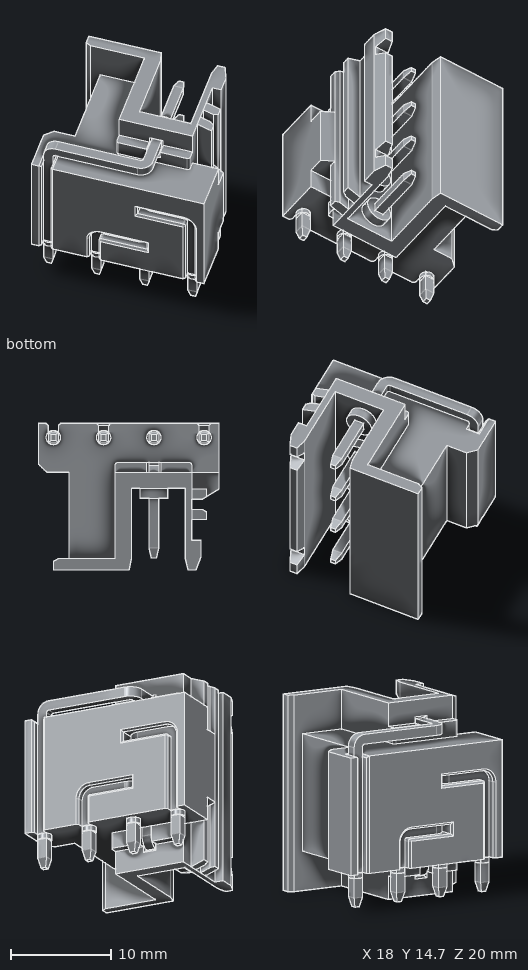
import cadquery as cq
import math


pin_pitch = 5.0
pin_count = 4
row_offsets = [(i - (pin_count - 1) / 2) * pin_pitch for i in range(pin_count)]
contact_x = pin_pitch / 2
contact_z = row_offsets[::-1]
tail_x = [row_offsets[0], row_offsets[3], row_offsets[1], row_offsets[2]]

pin_width = 1.0
flare = 0.22
leg_depth = 1.05
bend_inner_radius = 0.24
bend_outer_radius = bend_inner_radius + pin_width
leg_front_y = 0.9
leg_back_y = leg_front_y + leg_depth
leg_mid_y = (leg_front_y + leg_back_y) / 2
tip_width = 0.52
tip_length = 1.0
contact_tip_y = 13.45
tail_tip_z = -9.48
collar_radius = pin_width / 2 + flare
collar_height = 0.54
riser_front_y = 4.2
step_rise = pin_pitch / 2

base_half_width = 9.0
base_half_height = 5.97
base_depth = 4.9
base_chamfer_x = 0.85
base_chamfer_y = 0.82
block_left_x = -5.97
lip_half_height = 3.6
lip_low_y = 6.56

header_half_height = 9.98
header_top_y = 14.65
shroud_left_x = -1.35
shroud_right_x = 6.28
cavity_left_x = 0.28
cavity_right_x = 5.63
floor_thickness = 1.58
floor_y = base_depth + floor_thickness
flange_left_x = -7.52
flange_chamfer_x = 0.52
flange_chamfer_y = 0.3
flange_thickness = 1.18
flange_bottom_y = header_top_y - flange_thickness
plug_depth = 1.0
plug_half_height = 7.6
plug_corner_radius = 0.25
boss_diameter = 2.8
boss_height = 1.0

wall_taper_y = 13.5
wall_taper_x = 0.24
latch_tip_left_x = 5.9
latch_tip_right_x = 6.7
barb_x = 7.2
barb_low_y = 11.65
barb_high_y = 13.33
notch_mouth = 2.11
notch_bottom = 1.1
rib_tip_x = 7.76
rib_thickness = 1.02
rib_low_y = lip_low_y
rib_high_y = 8.58
rib_chamfer_x = 0.42
rib_chamfer_y = 0.25
rib_end_drop = 0.52


def elbow_outline(plane, corner, ends, thickness, grow=0.0):
    """L-shaped outline with a rounded bend.

    corner is the sharp outer corner, ends are where the two legs stop, and thickness is
    that of the leg along v, then of the leg along u. grow widens the outline all round.
    """
    su = math.copysign(1, ends[0] - corner[0])
    sv = math.copysign(1, ends[1] - corner[1])
    u0 = corner[0] - su * grow
    v0 = corner[1] - sv * grow
    u_end = ends[0] + su * grow
    v_end = ends[1] + sv * grow
    outer = bend_outer_radius + grow
    inner = bend_inner_radius - grow
    u_in = u0 + su * (thickness[0] + 2 * grow)
    v_in = v0 + sv * (thickness[1] + 2 * grow)
    k = 1 - math.sqrt(0.5)
    return (
        plane.moveTo(u0, v_end)
        .lineTo(u0, v0 + sv * outer)
        .threePointArc((u0 + su * k * outer, v0 + sv * k * outer), (u0 + su * outer, v0))
        .lineTo(u_end, v0)
        .lineTo(u_end, v_in)
        .lineTo(u_in + su * inner, v_in)
        .threePointArc((u_in + su * k * inner, v_in + sv * k * inner), (u_in, v_in + sv * inner))
        .lineTo(u_in, v_end)
        .close()
    )


def tapered_block(plane, size_u, size_v, length, end_inset):
    """Rectangular block whose four sides lean in by end_inset over its length."""
    angle = math.degrees(math.atan2(end_inset, length))
    return plane.rect(size_u, size_v).extrude(length, taper=angle)


def contact_tip(z):
    plane = cq.Workplane("XZ", origin=(contact_x, contact_tip_y - tip_length, z))
    plane = plane.transformed(rotate=(180, 0, 0))
    return tapered_block(plane, pin_width, pin_width, tip_length, (pin_width - tip_width) / 2)


def tail_end(x):
    """Pointed tail tip together with the round collar under the base."""
    plane = cq.Workplane("XY", origin=(x, leg_mid_y, tail_tip_z + tip_length))
    plane = plane.transformed(rotate=(180, 0, 0))
    tip = tapered_block(plane, pin_width, leg_depth, tip_length, (pin_width - tip_width) / 2)
    collar = (
        cq.Workplane("XY", origin=(x, leg_mid_y, -base_half_height))
        .circle(collar_radius)
        .extrude(-collar_height)
    )
    return tip.union(collar)


def leg_corner(x, z):
    """Outer corner of the sideways leg, and the direction from contact to tail."""
    side = math.copysign(1, x - contact_x)
    return side, (x + side * pin_width / 2, z + pin_width / 2)


def side_pin(x, z):
    """Contact along Y, a sideways run along X, then a tail straight down."""
    side, corner = leg_corner(x, z)
    run_end = contact_x + side * (pin_width / 2 + bend_inner_radius)
    split_x = corner[0] - side * bend_outer_radius
    contact = elbow_outline(
        cq.Workplane("XY", origin=(0, 0, z)),
        (contact_x - side * pin_width / 2, leg_front_y),
        (split_x, contact_tip_y - tip_length),
        (pin_width, leg_depth),
    ).extrude(pin_width / 2, both=True)
    tail = elbow_outline(
        cq.Workplane("XZ", origin=(0, leg_mid_y, 0)),
        corner,
        (run_end, tail_tip_z + tip_length),
        (pin_width, pin_width),
    ).extrude(leg_depth / 2, both=True)
    return contact.union(tail).union(contact_tip(z)).union(tail_end(x))


def stepped_pin(x, z):
    """Contact along Y, a step up into the base, a run forward, then a tail straight down."""
    half = pin_width / 2
    run_z = z + step_rise
    mid_z = (z + run_z) / 2
    mid_y = (riser_front_y + leg_back_y) / 2
    bends = [
        ((riser_front_y, z - half), (contact_tip_y - tip_length, mid_z), pin_width),
        ((riser_front_y + pin_width, run_z + half), (mid_y, mid_z), pin_width),
        ((leg_front_y, run_z + half), (mid_y, tail_tip_z + tip_length), leg_depth),
    ]
    pin = contact_tip(z).union(tail_end(x))
    for corner, ends, upright_thickness in bends:
        plane = cq.Workplane("YZ", origin=(x, 0, 0))
        outline = elbow_outline(plane, corner, ends, (upright_thickness, pin_width))
        pin = pin.union(outline.extrude(half, both=True))
    return pin


def make_pins():
    pins = [side_pin(x, z) for x, z in zip(tail_x[:-1], contact_z[:-1])]
    pins.append(stepped_pin(tail_x[-1], contact_z[-1]))
    return pins


def pin_slot(x, z):
    """Slot open to the front of the base, following the flat leg of one pin, with a flared mouth."""
    side, corner = leg_corner(x, z)
    ends = (contact_x - side * pin_width / 2, tail_tip_z)
    thickness = (pin_width, pin_width)
    slot = elbow_outline(cq.Workplane("XZ"), corner, ends, thickness).extrude(-leg_back_y)
    mouth = elbow_outline(cq.Workplane("XZ"), corner, ends, thickness, flare)
    mouth = elbow_outline(mouth.workplane(offset=-flare), corner, ends, thickness)
    return slot.union(mouth.loft(ruled=True))


def slot_top_flare(x):
    """Lead-in chamfer where the slot of the top pin leaves the top of the base."""
    back_y = leg_back_y + flare
    plane = cq.Workplane("XY", origin=(x, 0, base_half_height)).transformed(rotate=(180, 0, 0))
    return tapered_block(plane, pin_width + 2 * flare, 2 * back_y, flare, flare)


def make_base(pins):
    outline = [
        (-base_half_width, 0),
        (base_half_width, 0),
        (base_half_width, base_depth),
        (shroud_left_x, base_depth),
        (shroud_left_x, flange_bottom_y),
        (block_left_x, flange_bottom_y),
        (block_left_x, base_depth),
        (-base_half_width + base_chamfer_x, base_depth),
        (-base_half_width, base_depth - base_chamfer_y),
    ]
    base = cq.Workplane("XY").polyline(outline).close().extrude(base_half_height, both=True)

    lip_outline = [
        (shroud_right_x, base_depth),
        (base_half_width, base_depth),
        (base_half_width, lip_low_y),
        (rib_tip_x, rib_low_y + rib_thickness - rib_chamfer_y),
        (rib_tip_x, rib_low_y),
        (shroud_right_x, rib_low_y),
    ]
    lip = cq.Workplane("XY").polyline(lip_outline).close().extrude(lip_half_height, both=True)
    base = base.union(lip).cut(make_plug())

    for x, z in zip(tail_x[:-1], contact_z[:-1]):
        base = base.cut(pin_slot(x, z))
    base = base.cut(slot_top_flare(tail_x[0]))
    for pin in pins:
        base = base.cut(pin)
    return base


def make_plug():
    """Raised pad under the header floor that sits in a channel of the base."""
    return (
        cq.Workplane("XY")
        .moveTo((shroud_left_x + shroud_right_x) / 2, base_depth - plug_depth / 2)
        .rect(shroud_right_x - shroud_left_x, plug_depth)
        .extrude(plug_half_height, both=True)
        .edges("|Z and <Y")
        .fillet(plug_corner_radius)
    )


def make_shroud():
    """Constant section of the header: flange, two walls and floor, with a latch on the right wall."""
    outline = [
        (shroud_left_x, base_depth),
        (shroud_right_x, base_depth),
        (shroud_right_x, barb_low_y),
        (barb_x, barb_low_y),
        (barb_x, barb_high_y),
        (latch_tip_right_x, header_top_y),
        (latch_tip_left_x, header_top_y),
        (cavity_right_x, wall_taper_y),
        (cavity_right_x, floor_y),
        (cavity_left_x, floor_y),
        (cavity_left_x, wall_taper_y),
        (cavity_left_x - wall_taper_x, header_top_y),
        (flange_left_x, header_top_y),
        (flange_left_x, flange_bottom_y + flange_chamfer_y),
        (flange_left_x + flange_chamfer_x, flange_bottom_y),
        (shroud_left_x, flange_bottom_y),
    ]
    return cq.Workplane("XY").polyline(outline).close().extrude(header_half_height, both=True)


def latch_notch(z):
    """Notch across the latch wall that narrows towards its bottom."""
    outline = [
        (header_top_y, z - notch_mouth / 2),
        (header_top_y, z + notch_mouth / 2),
        (wall_taper_y, z + notch_bottom / 2),
        (wall_taper_y, z - notch_bottom / 2),
    ]
    plane = cq.Workplane("YZ", origin=(cavity_right_x, 0, 0))
    return plane.polyline(outline).close().extrude(barb_x - cavity_right_x)


def make_rib(low_y, chamfer_on_top):
    """Guide rib along the latch wall: one long edge chamfered, both ends cut back towards the tip."""
    section = [
        (shroud_right_x, 0),
        (rib_tip_x - rib_chamfer_x, 0),
        (rib_tip_x, rib_chamfer_y),
        (rib_tip_x, rib_thickness),
        (shroud_right_x, rib_thickness),
    ]
    if chamfer_on_top:
        section = [(x, rib_thickness - y) for x, y in section]
    bar = (
        cq.Workplane("XY", origin=(0, low_y, 0))
        .polyline(section)
        .close()
        .extrude(header_half_height, both=True)
    )
    front_shape = [
        (shroud_right_x, header_half_height),
        (rib_tip_x, header_half_height - rib_end_drop),
        (rib_tip_x, -header_half_height + rib_end_drop),
        (shroud_right_x, -header_half_height),
    ]
    envelope = (
        cq.Workplane("XZ", origin=(0, low_y, 0))
        .polyline(front_shape)
        .close()
        .extrude(-rib_thickness)
    )
    return bar.intersect(envelope)


def pin_pocket(z):
    """Clearance around a pin in the plug, narrowing to pin size as it enters the floor."""
    size = pin_width + 2 * flare
    clearance = (
        cq.Workplane("XZ", origin=(contact_x, base_depth, z)).rect(size, size).extrude(plug_depth)
    )
    plane = cq.Workplane("XZ", origin=(contact_x, base_depth, z)).transformed(rotate=(180, 0, 0))
    return clearance.union(tapered_block(plane, size, size, flare, flare))


def riser_channel(x, z):
    """Clearance in the plug above the pocket of the stepped pin, for its upright stretch."""
    size = pin_width + 2 * flare
    return (
        cq.Workplane("XZ", origin=(x, base_depth, z + step_rise / 2))
        .rect(size, step_rise)
        .extrude(plug_depth)
    )


def make_header(pins):
    header = make_shroud().union(make_plug())
    header = header.union(make_rib(rib_low_y, True)).union(make_rib(rib_high_y, False))
    for z in contact_z:
        boss = (
            cq.Workplane("XZ", origin=(contact_x, floor_y, z))
            .circle(boss_diameter / 2)
            .extrude(-boss_height)
        )
        header = header.union(boss).cut(pin_pocket(z))
    header = header.cut(riser_channel(tail_x[-1], contact_z[-1]))
    for z in (contact_z[0], contact_z[-1]):
        header = header.cut(latch_notch(z))
    for pin in pins:
        header = header.cut(pin)
    return header


pins = make_pins()
base = make_base(pins)
header = make_header(pins)
bodies = [base, header, *pins]
result = cq.Compound.makeCompound([body.solids().val() for body in bodies])